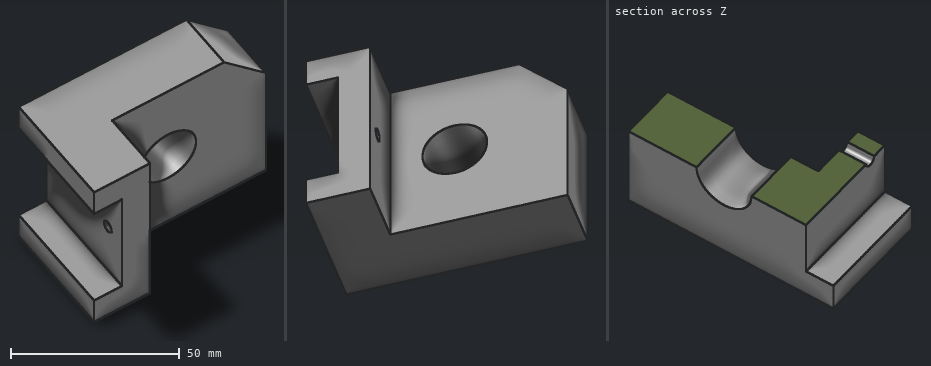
import cadquery as cq

width = 40.0
length = 75.0
height = 60.0

wall_thickness = width / 2
foot_depth = width / 2

slot_height = width
slot_depth = 10.0

bevel = 15.0

bore_diameter = 20.0
bore_y = 40.0

pin_diameter = 4.0
pin_x = 32.5


def l_body():
    """L-shaped block with its outer front corner at the origin."""
    wall = cq.Workplane("XY").box(wall_thickness, length, height, centered=False)
    foot = cq.Workplane("XY").box(width, foot_depth, height, centered=False)
    return wall.union(foot)


def front_slot():
    """Rectangular slot running the full width of the front face."""
    return (
        cq.Workplane("XY")
        .box(width, slot_depth, slot_height, centered=False)
        .translate((0, 0, (height - slot_height) / 2))
    )


def wall_bore():
    return (
        cq.Workplane("YZ")
        .center(bore_y, height / 2)
        .circle(bore_diameter / 2)
        .extrude(wall_thickness)
    )


def pin_hole():
    return (
        cq.Workplane("XZ")
        .center(pin_x, height / 2)
        .circle(pin_diameter / 2)
        .extrude(-foot_depth)
    )


beveled_body = l_body().faces(">Y").edges(">Z").chamfer(bevel)
result = beveled_body.cut(front_slot()).cut(wall_bore()).cut(pin_hole())